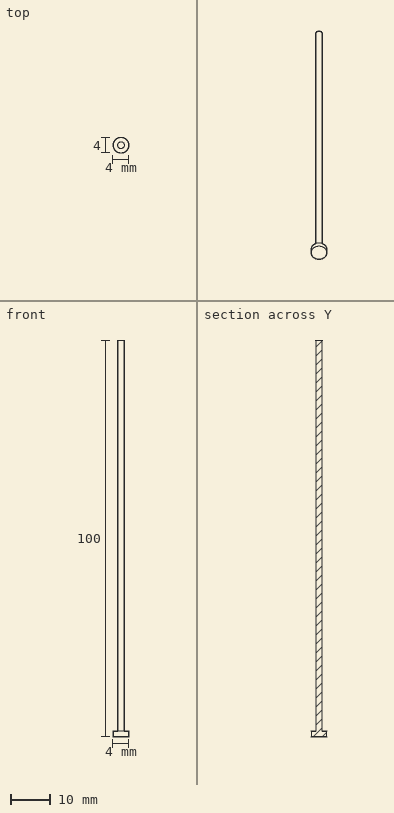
import cadquery as cq

TOTAL_LENGTH = 100.0
HEAD_DIAMETER = 4.0
HEAD_THICKNESS = 1.5
SHAFT_DIAMETER = 1.7


def make_head():
    """Round disc head with its bottom face on the XY plane."""
    return cq.Workplane("XY").circle(HEAD_DIAMETER / 2).extrude(HEAD_THICKNESS)


def make_shaft():
    """Slender round shaft on the head's axis, running the full length."""
    return cq.Workplane("XY").circle(SHAFT_DIAMETER / 2).extrude(TOTAL_LENGTH)


result = make_head().union(make_shaft())